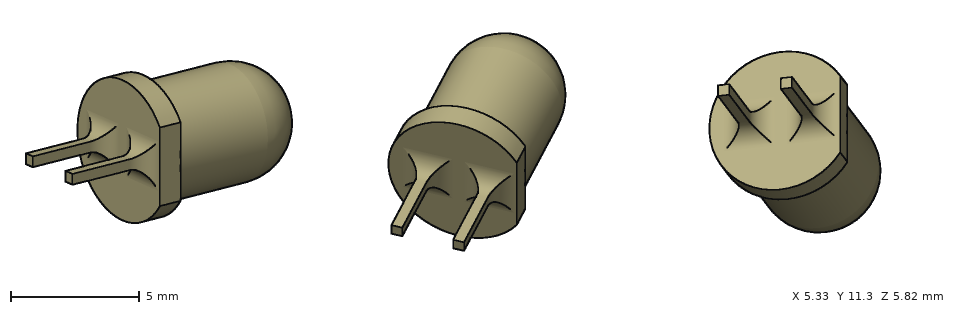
import cadquery as cq

total_length = 11.31
body_diameter = 4.83
flange_diameter = 5.82
flange_thickness = 1.02

lead_length = 3.6
lead_width = 0.45
lead_pitch = 2.56
flare_radius = 0.8

body_radius = body_diameter / 2
flange_radius = flange_diameter / 2
flat_offset = body_radius
dome_tip = total_length - lead_length
dome_base = dome_tip - body_radius


def make_lens():
    """Cylinder with a hemispherical end, revolved about the Y axis."""
    dome_center = cq.Vector(0, dome_base)
    dome_middle = dome_center + cq.Vector(1, 1).normalized() * body_radius
    return (
        cq.Workplane("XY")
        .lineTo(body_radius, 0)
        .lineTo(body_radius, dome_base)
        .threePointArc((dome_middle.x, dome_middle.y), (0, dome_tip))
        .close()
        .revolve(360, (0, 0), (0, 1))
    )


def make_flat_cutter():
    """Block beyond the flat on the +X side of the flange."""
    return cq.Workplane("XY").box(
        flange_radius, flange_thickness, 2 * flange_radius, centered=(False, False, True)
    ).translate((flat_offset, 0, 0))


def make_flange():
    disc = cq.Workplane("XZ").circle(flange_radius).extrude(-flange_thickness)
    return disc.cut(make_flat_cutter())


def lead_silhouette(plane):
    """Lead outline with concave quarter-round flares, extruded both ways."""
    half_width = lead_width / 2
    half_base = half_width + flare_radius
    arc_sagitta = flare_radius * (1 - 0.5 ** 0.5)
    return (
        cq.Workplane(plane)
        .moveTo(-half_base, 0)
        .threePointArc((-half_width - arc_sagitta, -arc_sagitta), (-half_width, -flare_radius))
        .lineTo(-half_width, -lead_length)
        .lineTo(half_width, -lead_length)
        .lineTo(half_width, -flare_radius)
        .threePointArc((half_width + arc_sagitta, -arc_sagitta), (half_base, 0))
        .close()
        .extrude(half_base, both=True)
    )


def make_lead():
    """Crossing the two silhouettes keeps every section of the lead square."""
    return lead_silhouette("XY").intersect(lead_silhouette("ZY"))


result = make_lens().union(make_flange())
for side in (-1, 1):
    result = result.union(make_lead().translate((side * lead_pitch / 2, 0, 0)))